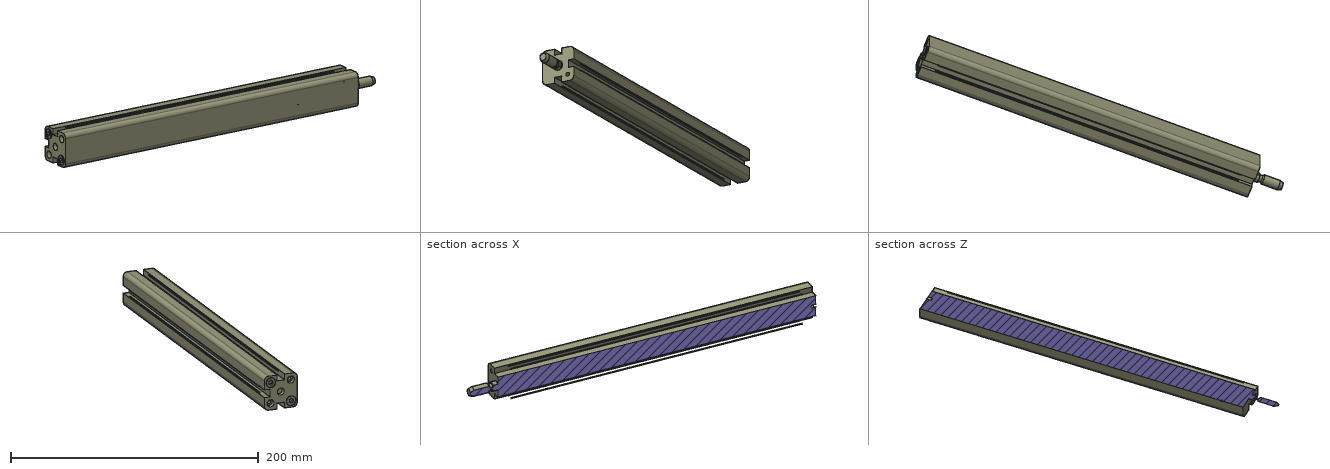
import cadquery as cq

total_length = 312.5
side = 29.0
corner_radius = 3.8
cap_length = 12.2
head_height = 0.5
rod_reach = 24.7
body_length = total_length - head_height - rod_reach
profile_length = body_length - 2 * cap_length

slot_width = 6.5
slot_depth = 5.0
mouth_width = 5.0
lip_height = 1.2
lip_bevel = 0.3

hole_pitch = 17.8
corner_offset = hole_pitch / 2
head_diameter = 8.0
socket_corner_diameter = 4.0
socket_depth = 2.5
through_diameter = 3.0
counterbore_diameter = 6.0
counterbore_depth = 4.0
port_diameter = 6.0
port_depth = 4.0

rod_diameter = 8.0
flats_width = 6.5
collar_length = 1.0
root_diameter = 6.0
tip_length = 3.0
thread_length = 13.5
taper_length = 1.2
neck_length = 2.5
shank_length = rod_reach - tip_length - thread_length - taper_length - neck_length


def cylinder(diameter, start, length, x=0.0, z=0.0):
    """Round bar or hole along +Y, beginning at y = start."""
    return cq.Workplane("XY").add(
        cq.Solid.makeCylinder(diameter / 2, length, cq.Vector(x, start, z), cq.Vector(0, 1, 0))
    )


def block(width, height, start, length, x=0.0, z=0.0):
    """Box centred on (x, z), reaching along +Y from y = start."""
    return cq.Workplane("XY").box(width, length, height).translate((x, start + length / 2, z))


def cut_slots(bar, start, length, has_lips):
    """Cut the three slots; a bevelled lip on each side narrows the mouth of a lipped slot."""
    top = side / 2
    slot = block(slot_width, slot_depth, start, length, z=top - slot_depth / 2)
    if has_lips:
        for sign in (-1, 1):
            wall = sign * slot_width / 2
            edge = sign * mouth_width / 2
            outline = [
                (wall, top),
                (edge, top - lip_bevel),
                (edge, top - lip_height),
                (wall, top - lip_height),
            ]
            lip = cq.Workplane("XZ", origin=(0, start, 0)).polyline(outline).close().extrude(-length)
            slot = slot.cut(lip)
    for angle in (0, 180, 270):
        bar = bar.cut(slot.rotate((0, 0, 0), (0, 1, 0), angle))
    return bar


def body_section(start, length, has_lips):
    bar = block(side, side, start, length).edges("|Y").fillet(corner_radius)
    return cut_slots(bar, start, length, has_lips)


def make_body():
    near_cap = body_section(0, cap_length, False)
    profile = body_section(cap_length, profile_length, True)
    far_cap = body_section(cap_length + profile_length, cap_length, False)
    return near_cap.union(profile).union(far_cap)


def hex_socket(x, z):
    """Hexagonal recess in a screw head, with corners pointing to -Z and +Z."""
    face = cq.Workplane("XZ", origin=(x, -head_height, z))
    return face.transformed(rotate=(0, 0, 90)).polygon(6, socket_corner_diameter).extrude(-socket_depth)


def add_screw_heads(body):
    """Seat screw heads at the +X -Z and -X +Z corners, slightly proud of the -Y face."""
    for sign in (-1, 1):
        x = sign * corner_offset
        z = -sign * corner_offset
        body = body.union(cylinder(head_diameter, -head_height, 2 * head_height, x, z))
        body = body.cut(hex_socket(x, z))
    return body


def cut_face_holes(body):
    """Cut the two counterbored through holes and the blind centre port."""
    for sign in (-1, 1):
        place = sign * corner_offset
        body = body.cut(cylinder(through_diameter, 0, body_length, place, place))
        body = body.cut(cylinder(counterbore_diameter, 0, counterbore_depth, place, place))
    return body.cut(cylinder(port_diameter, 0, port_depth))


def make_shank():
    """Full-diameter collar at the cap, then the stretch with two flats facing -X and +X."""
    flats_length = shank_length - collar_length
    flats_start = body_length + collar_length
    flats = cylinder(rod_diameter, flats_start, flats_length)
    flats = flats.intersect(block(flats_width, rod_diameter, flats_start, flats_length))
    return cylinder(rod_diameter, body_length, collar_length).union(flats)


def make_threaded_end():
    """Turned neck, tapered thread run-out, thread and tapered tip."""
    neck_start = body_length + shank_length
    taper_start = neck_start + neck_length
    thread_start = taper_start + taper_length
    thread_end = thread_start + thread_length
    tip_end = thread_end + tip_length
    half_outline = [
        (0, neck_start),
        (root_diameter / 2, neck_start),
        (root_diameter / 2, taper_start),
        (rod_diameter / 2, thread_start),
        (rod_diameter / 2, thread_end),
        (root_diameter / 2, tip_end),
        (0, tip_end),
    ]
    return cq.Workplane("XY").polyline(half_outline).close().revolve(360, (0, 0, 0), (0, 1, 0))


body = cut_face_holes(add_screw_heads(make_body()))
result = body.union(make_shank()).union(make_threaded_end())